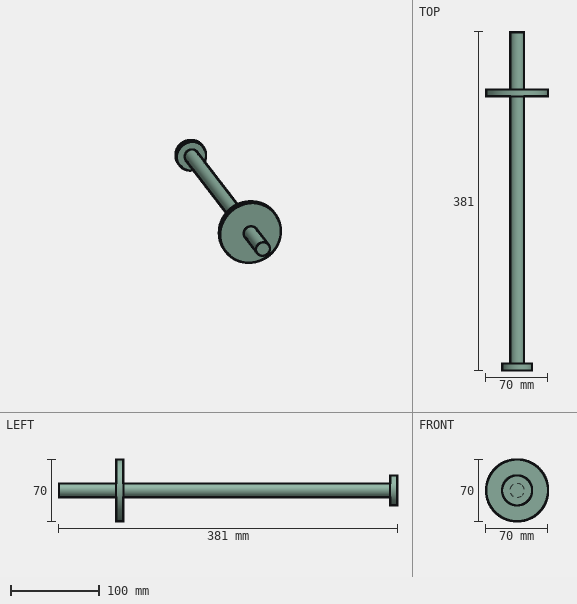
import cadquery as cq

length = 381.0
rod_diameter = 16.0
head_diameter = 34.0
flange_diameter = 70.0
disc_thickness = 8.0
flange_setback = 64.5

front_y = -length / 2
flange_y = length / 2 - flange_setback - disc_thickness


def cylinder_along_y(diameter, start_y, extent):
    """Solid cylinder on the Y axis, running toward +Y from start_y."""
    return cq.Workplane("XZ", origin=(0, start_y, 0)).circle(diameter / 2).extrude(-extent)


rod = cylinder_along_y(rod_diameter, front_y, length)
head = cylinder_along_y(head_diameter, front_y, disc_thickness)
flange = cylinder_along_y(flange_diameter, flange_y, disc_thickness)

result = rod.union(head).union(flange)